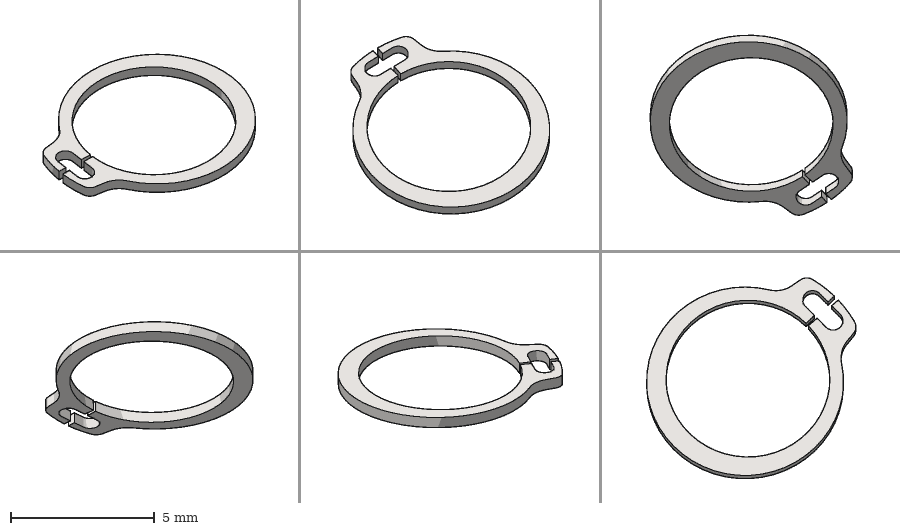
import cadquery as cq
import math

thickness = 0.4
bore_radius = 2.85
rim_radius = 3.43
rim_offset = 0.14
lug_tip_radius = 4.25

flank_angle = 8.0
flank_half_width = 1.37
root_fillet = 0.95
tip_fillet = 0.38

slot_length = 1.72
slot_width = 0.68
slot_center_y = -3.6

gap_at_bore = 0.11
gap_at_tip = 0.2


def disk(radius, center_y=0):
    return cq.Workplane("XY").center(0, center_y).circle(radius).extrude(thickness)


def tapered_bar(half_width_top, y_top, half_width_bottom, y_bottom):
    """Plate symmetric about the Y axis, with straight converging sides."""
    corners = [
        (-half_width_top, y_top),
        (half_width_top, y_top),
        (half_width_bottom, y_bottom),
        (-half_width_bottom, y_bottom),
    ]
    return cq.Workplane("XY").polyline(corners).close().extrude(thickness)


def flank_x(y):
    """Half width of the lug pair at height y."""
    return flank_half_width + (y - slot_center_y) * math.tan(math.radians(flank_angle))


def make_lugs():
    y_top = -bore_radius / 2
    y_bottom = -lug_tip_radius - tip_fillet
    wedge = tapered_bar(flank_x(y_top), y_top, flank_x(y_bottom), y_bottom)
    return wedge.intersect(disk(lug_tip_radius))


def edges_between(body, y_low, y_high):
    """Vertical edges of the body whose Y lies between the two limits."""
    reach = 2 * rim_radius
    box = cq.selectors.BoxSelector((-reach, y_low, -reach), (reach, y_high, reach))
    return body.edges("|Z").edges(box)


def make_blank():
    """Solid plate with the complete filleted outer outline."""
    body = disk(rim_radius, rim_offset).union(make_lugs())
    rim_bottom = rim_offset - rim_radius
    body = edges_between(body, -lug_tip_radius, slot_center_y).fillet(tip_fillet)
    return edges_between(body, rim_bottom, -bore_radius).fillet(root_fillet)


def make_slot():
    return cq.Workplane("XY").center(0, slot_center_y).slot2D(slot_length, slot_width).extrude(thickness)


def make_gap():
    widening = (gap_at_tip - gap_at_bore) / (lug_tip_radius - bore_radius)
    overrun = 0.2
    half_top = (gap_at_bore - widening * overrun) / 2
    half_bottom = (gap_at_tip + widening * overrun) / 2
    return tapered_bar(half_top, overrun - bore_radius, half_bottom, -lug_tip_radius - overrun)


result = make_blank().cut(disk(bore_radius)).cut(make_slot()).cut(make_gap())